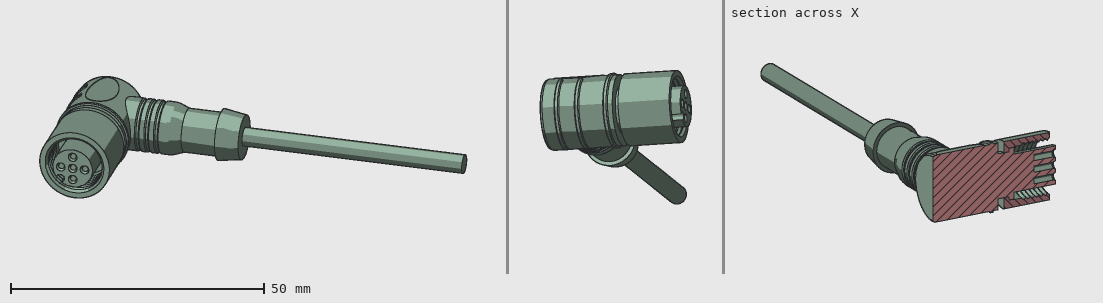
import cadquery as cq
import math


BACK_Y = 5.5
BARREL_R = 7.1
BARREL_LENGTH = 14.9
BACK_CHAMFER_LENGTH = 0.5
BACK_CHAMFER_DEPTH = 0.25
OVERALL_DEPTH = 28.0

BAND_EMBED = 0.4
BAND_BASE_WIDTH = 1.0
BAND_CREST_WIDTH = 0.6
COLLAR_R = 7.4
COLLAR_CENTRE_Y = BACK_Y - 13.4
GRIP_RIB_R = 7.3
GRIP_RIB_CENTRES_Y = [BACK_Y - 3.4, BACK_Y - 7.6]
GRIP_RIB_TOP_X = -4.0

PAD_HEIGHT = 0.1
PAD_HALF_WIDTH = 3.1
PAD_HALF_LENGTH = 5.4
PAD_CENTRE_Y = BACK_Y - 6.35

BOOT_R = 5.3
BOOT_EDGE_R = 5.2
SHAFT_R = 4.4
FLARE_R = 5.2
FLARE_END_R = 4.5
BOOT_ROUND_X = 14.15
BOOT_EDGE_X = 14.9
SHAFT_X = 17.15
FLARE_X = 24.2
BOOT_END_X = 28.9
GROOVE_COUNT = 3
GROOVE_FIRST_X = 8.3
GROOVE_PITCH = 1.95
GROOVE_WIDTH = 1.0
GROOVE_FLOOR_WIDTH = 0.5
GROOVE_DEPTH = 0.25

CABLE_R = 1.9
CABLE_OFFSET_Y = 0.3
OVERALL_LENGTH = 81.3
CABLE_END_X = OVERALL_LENGTH - COLLAR_R

NUT_R = 7.15
NUT_REAR_Y = BACK_Y - 16.1
NUT_LENGTH = 10.5
NUT_FRONT_Y = NUT_REAR_Y - NUT_LENGTH
NUT_WALL = 1.2
NUT_FLOOR_Y = NUT_REAR_Y - NUT_WALL
THREAD_MINOR_R = 5.5
THREAD_MAJOR_R = 6.0
THREAD_PITCH = 1.0
THREAD_COUNT = 6
NUT_MOUTH_CHAMFER = THREAD_MAJOR_R - THREAD_MINOR_R

NECK_R = 4.8
FLANGE_THICKNESS = 1.2
FLANGE_FRONT_Y = NUT_FLOOR_Y - FLANGE_THICKNESS
INSERT_R = 4.1
INSERT_FRONT_Y = BACK_Y - OVERALL_DEPTH

SOCKET_MOUTH_R = 0.9
SOCKET_R = 0.61
SOCKET_TAPER = 0.5
SOCKET_DEPTH = 4.9
SOCKET_SPACING = 2.4
KEY_SLOT_R = 0.8
KEY_SLOT_OFFSET = 3.6
KEY_SLOT_ANGLE = 225


def revolve_about_y(profile):
    """Solid of revolution about Y from (radius, y) points."""
    return cq.Workplane("XY").polyline(profile).close().revolve(360, (0, 0, 0), (0, 1, 0))


def revolve_about_x(profile):
    """Solid of revolution about X from (x, radius) points."""
    return cq.Workplane("XY").polyline(profile).close().revolve(360, (0, 0, 0), (1, 0, 0))


def cylinder_y(radius, start_y, end_y):
    """Cylinder on the Y axis running toward -Y from start_y to end_y."""
    return cq.Workplane("XZ", origin=(0, start_y, 0)).circle(radius).extrude(start_y - end_y)


def make_barrel():
    front_y = BACK_Y - BARREL_LENGTH
    return revolve_about_y([
        (0, BACK_Y),
        (BARREL_R - BACK_CHAMFER_DEPTH, BACK_Y),
        (BARREL_R, BACK_Y - BACK_CHAMFER_LENGTH),
        (BARREL_R, front_y),
        (0, front_y),
    ])


def make_band(centre_y, crest_radius):
    """Full ring of trapezoidal section standing on the barrel."""
    root_radius = BARREL_R - BAND_EMBED
    half_base = BAND_BASE_WIDTH / 2
    half_crest = BAND_CREST_WIDTH / 2
    return revolve_about_y([
        (root_radius, centre_y + half_base),
        (BARREL_R, centre_y + half_base),
        (crest_radius, centre_y + half_crest),
        (crest_radius, centre_y - half_crest),
        (BARREL_R, centre_y - half_base),
        (root_radius, centre_y - half_base),
    ])


def make_grip_rib(centre_y):
    """Part ring on the -X side, from beside the label pad round to the underside."""
    reach = 2 * GRIP_RIB_R
    side = cq.Workplane("XY").box(reach, BAND_BASE_WIDTH, reach)
    upper = side.translate((GRIP_RIB_TOP_X - reach / 2, centre_y, reach / 2))
    lower = side.translate((-reach / 2, centre_y, -reach / 2))
    return make_band(centre_y, GRIP_RIB_R).intersect(upper.union(lower))


def make_label_pad():
    """Oval patch whose top follows the barrel at a small constant height."""
    oval = (
        cq.Workplane("XY", origin=(0, PAD_CENTRE_Y, BARREL_R / 2))
        .ellipse(PAD_HALF_WIDTH, PAD_HALF_LENGTH)
        .extrude(BARREL_R)
    )
    return oval.intersect(cylinder_y(BARREL_R + PAD_HEIGHT, BACK_Y, BACK_Y - BARREL_LENGTH))


def make_boot():
    boot = revolve_about_x([
        (0, 0),
        (0, BOOT_R),
        (BOOT_ROUND_X, BOOT_R),
        (BOOT_EDGE_X, BOOT_EDGE_R),
        (SHAFT_X, SHAFT_R),
        (FLARE_X, SHAFT_R),
        (FLARE_X, FLARE_R),
        (BOOT_END_X, FLARE_END_R),
        (BOOT_END_X, 0),
    ])
    for index in range(GROOVE_COUNT):
        centre_x = GROOVE_FIRST_X + index * GROOVE_PITCH
        floor_r = BOOT_R - GROOVE_DEPTH
        groove = revolve_about_x([
            (centre_x - GROOVE_WIDTH / 2, BOOT_R),
            (centre_x - GROOVE_FLOOR_WIDTH / 2, floor_r),
            (centre_x + GROOVE_FLOOR_WIDTH / 2, floor_r),
            (centre_x + GROOVE_WIDTH / 2, BOOT_R),
        ])
        boot = boot.cut(groove)
    return boot


def make_cable():
    return (
        cq.Workplane("YZ", origin=(FLARE_X, CABLE_OFFSET_Y, 0))
        .circle(CABLE_R)
        .extrude(CABLE_END_X - FLARE_X)
    )


def make_socket(x, z):
    """Tapered-mouth contact hole, as a cutting solid."""
    hole = revolve_about_y([
        (0, INSERT_FRONT_Y),
        (SOCKET_MOUTH_R, INSERT_FRONT_Y),
        (SOCKET_R, INSERT_FRONT_Y + SOCKET_TAPER),
        (SOCKET_R, INSERT_FRONT_Y + SOCKET_DEPTH),
        (0, INSERT_FRONT_Y + SOCKET_DEPTH),
    ])
    return hole.translate((x, 0, z))


def make_insert():
    insert = cylinder_y(INSERT_R, FLANGE_FRONT_Y, INSERT_FRONT_Y)

    key_angle = math.radians(KEY_SLOT_ANGLE)
    key_x = KEY_SLOT_OFFSET * math.cos(key_angle)
    key_z = KEY_SLOT_OFFSET * math.sin(key_angle)
    key_slot = cylinder_y(KEY_SLOT_R, FLANGE_FRONT_Y, INSERT_FRONT_Y).translate((key_x, 0, key_z))
    insert = insert.cut(key_slot)

    s = SOCKET_SPACING
    for x, z in [(0, 0), (s, 0), (-s, 0), (0, s), (0, -s)]:
        insert = insert.cut(make_socket(x, z))
    return insert


def make_housing():
    neck = cylinder_y(NECK_R, BACK_Y - BARREL_LENGTH, NUT_FLOOR_Y)
    flange = cylinder_y(THREAD_MINOR_R, NUT_FLOOR_Y, FLANGE_FRONT_Y)
    housing = make_barrel().union(make_band(COLLAR_CENTRE_Y, COLLAR_R))
    for centre_y in GRIP_RIB_CENTRES_Y:
        housing = housing.union(make_grip_rib(centre_y))
    housing = housing.union(make_label_pad())
    housing = housing.union(make_boot()).union(make_cable())
    return housing.union(neck).union(flange).union(make_insert())


def make_coupling_nut():
    """Sleeve held on the neck by its rear wall, with ring-shaped thread grooves in the bore."""
    bore = revolve_about_y([
        (0, NUT_FLOOR_Y),
        (THREAD_MINOR_R, NUT_FLOOR_Y),
        (THREAD_MINOR_R, NUT_FRONT_Y + NUT_MOUTH_CHAMFER),
        (THREAD_MAJOR_R, NUT_FRONT_Y),
        (0, NUT_FRONT_Y),
    ])
    nut = cylinder_y(NUT_R, NUT_REAR_Y, NUT_FRONT_Y)
    nut = nut.cut(cylinder_y(NECK_R, NUT_REAR_Y, NUT_FLOOR_Y)).cut(bore)
    for index in range(THREAD_COUNT):
        centre_y = NUT_FRONT_Y + NUT_MOUTH_CHAMFER + (index + 0.5) * THREAD_PITCH
        groove = revolve_about_y([
            (THREAD_MINOR_R, centre_y - THREAD_PITCH / 2),
            (THREAD_MAJOR_R, centre_y),
            (THREAD_MINOR_R, centre_y + THREAD_PITCH / 2),
        ])
        nut = nut.cut(groove)
    return nut


housing = make_housing()
coupling_nut = make_coupling_nut()
result = cq.Compound.makeCompound([housing.solids().val(), coupling_nut.solids().val()])